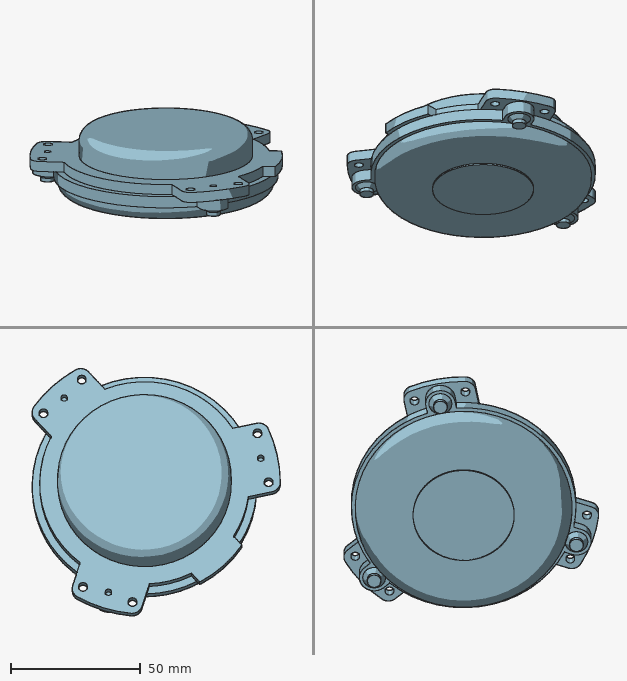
import cadquery as cq

plate_thickness = 4.0
cap_height = 10.4
flange_thickness = 4.5
dish_height = 5.9
nub_height = 0.6

cap_diameter = 67.0
plate_radius = 40.4
flange_radius = 43.3
dish_diameter = 83.6
nub_diameter = 39.0
edge_radius = 4.5

lug_angles = (90, 210, 330)
lug_radius = 52.4
lug_width = 28.0
lug_corner_radius = 4.0
screw_hole_diameter = 3.4
screw_hole_spacing = 20.0
screw_hole_radial = 46.8
pin_radial = 45.9
pin_hole_diameter = 2.5
pin_hole_depth = plate_thickness

boss_radius = 5.7
cone_top_diameter = 8.8
cone_height = 1.5
pin_diameter = 5.3
pin_length = 3.0

tab_angle = 30
tab_radius = 45.0
tab_width = 22.0

flange_bottom = -flange_thickness
dish_bottom = flange_bottom - dish_height


def disc(radius, bottom, height):
    return cq.Workplane("XY").workplane(offset=bottom).circle(radius).extrude(height)


def radial_bar(length, width, bottom, height):
    """Bar running from the Z axis out along +X."""
    bar = cq.Workplane("XY").box(length, width, height, centered=(False, True, False))
    return bar.translate((0, 0, bottom))


def round_ended_tab(outer_radius, width):
    """Plate-thick tab along +X whose outer end follows a circle about the Z axis."""
    bar = radial_bar(outer_radius, width, 0, plate_thickness)
    return bar.intersect(disc(outer_radius, 0, plate_thickness))


def at_angle(body, angle):
    return body.rotate((0, 0, 0), (0, 0, 1), angle)


def make_lug():
    lug = round_ended_tab(lug_radius, lug_width)
    outer_corners = cq.selectors.BoxSelector(
        (plate_radius, -lug_width, -plate_thickness),
        (lug_radius, lug_width, 2 * plate_thickness),
    )
    return lug.edges("|Z").edges(outer_corners).fillet(lug_corner_radius)


def make_boss():
    """U-shaped boss with a tapered shoulder and a pin beneath it."""
    bar = radial_bar(pin_radial, 2 * boss_radius, flange_bottom, flange_thickness)
    round_end = disc(boss_radius, flange_bottom, flange_thickness)
    pin = disc(pin_diameter / 2, flange_bottom - pin_length, pin_length)
    shoulder = (
        cq.Workplane("XY")
        .workplane(offset=flange_bottom)
        .circle(cone_top_diameter / 2)
        .workplane(offset=-cone_height)
        .circle(pin_diameter / 2)
        .loft()
    )
    end = round_end.union(pin).union(shoulder)
    return bar.union(end.translate((pin_radial, 0, 0)))


def make_lug_holes():
    """Two through screw holes and one blind hole above the pin."""
    screw_holes = (
        cq.Workplane("XY")
        .pushPoints([(screw_hole_radial, side * screw_hole_spacing / 2) for side in (-1, 1)])
        .circle(screw_hole_diameter / 2)
        .extrude(plate_thickness)
    )
    pin_hole = disc(pin_hole_diameter / 2, plate_thickness - pin_hole_depth, pin_hole_depth)
    return screw_holes.union(pin_hole.translate((pin_radial, 0, 0)))


cap = disc(cap_diameter / 2, plate_thickness, cap_height).faces(">Z").edges().fillet(edge_radius)
dish = disc(dish_diameter / 2, dish_bottom, dish_height).faces("<Z").edges().fillet(edge_radius)
nub = disc(nub_diameter / 2, dish_bottom - nub_height, nub_height)

result = (
    disc(plate_radius, 0, plate_thickness)
    .union(disc(flange_radius, flange_bottom, flange_thickness))
    .union(cap)
    .union(dish)
    .union(nub)
    .union(at_angle(round_ended_tab(tab_radius, tab_width), tab_angle))
)

for lug_angle in lug_angles:
    result = result.union(at_angle(make_lug(), lug_angle))
    result = result.union(at_angle(make_boss(), lug_angle))
    result = result.cut(at_angle(make_lug_holes(), lug_angle))